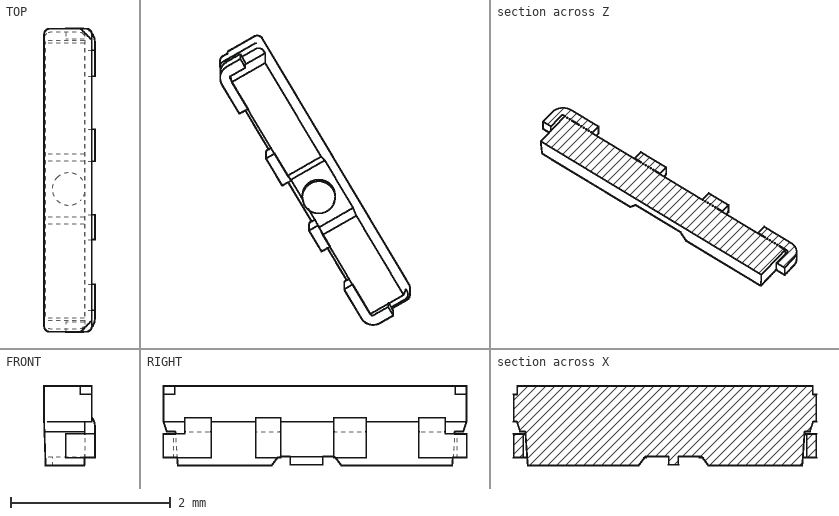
import cadquery as cq

lead_length = 3.8
height = 1.0
thickness = 0.64

body_length = 3.792
body_width = 0.6
shoulder_z = 0.55
corner_radius = 0.072

notch_leg = 0.145
notch_depth = 0.105

neck_bottom_z = 0.425
neck_end_inset = 0.04
neck_width = 0.51

base_top_length = 3.495
base_bottom_length = 3.435
base_left_inset = 0.02
base_bottom_right = 0.505

neck_left_inset = base_left_inset * (shoulder_z - neck_bottom_z) / shoulder_z

channel_y = -0.105
channel_top_width = 0.703
channel_bottom_width = 0.875
channel_depth = 0.115
boss_diameter = 0.41
boss_x = 0.308
boss_bottom_z = 0.01

lead_sheet = thickness - neck_width
lead_bottom_z = 0.103
lead_bend_radius = 0.17
lead_inner_radius = 0.015
end_lead_top_z = 0.4
end_lead_tip_x = 0.275
end_lead_inner_y = 1.3
end_lead_arm_outer_y = 1.625
bend_top_z = 0.665
middle_lead_spans = [(0.235, 0.64), (-0.74, -0.43)]

window_end_inset = 0.15
window_left = 0.07
window_right = 0.545
window_depth = 0.075
window_radius = 0.06


def rounded_outline(z, left, right, length):
    """Horizontal rectangle at height z, centred along Y, with rounded corners."""
    sketch = cq.Sketch().rect(right - left, length).vertices().fillet(corner_radius)
    return sketch.moved(cq.Location(cq.Vector((left + right) / 2, 0, z)))


def box(x_range, y_range, z_range):
    """Box given by its limits along each axis."""
    return cq.Workplane("XY").box(
        x_range[1] - x_range[0],
        y_range[1] - y_range[0],
        z_range[1] - z_range[0],
        centered=False,
    ).translate((x_range[0], y_range[0], z_range[0]))


def upper_body():
    """Upper body with its two top corners notched."""
    end = body_length / 2
    body = box((0, body_width), (-end, end), (shoulder_z, height))
    body = body.edges("|Z").fillet(corner_radius)
    for side in (-1, 1):
        notch = (
            cq.Workplane("XY", origin=(0, 0, height - notch_depth))
            .moveTo(body_width, side * end)
            .lineTo(body_width - notch_leg, side * end)
            .lineTo(body_width, side * (end - notch_leg))
            .close()
            .extrude(notch_depth)
        )
        body = body.cut(notch)
    return body


def neck():
    """Neck that tapers from the shoulder down to the base."""
    bottom_length = body_length - 2 * neck_end_inset
    bottom = rounded_outline(neck_bottom_z, neck_left_inset, neck_width, bottom_length)
    top = rounded_outline(shoulder_z, 0, neck_width, body_length)
    return cq.Workplane("XY").placeSketch(bottom, top).loft(ruled=True)


def base():
    """Drafted base with the channel across its underside and the boss in the channel."""
    top_center = (neck_left_inset + neck_width) / 2
    bottom_center = (base_left_inset + base_bottom_right) / 2
    block = (
        cq.Workplane("XY")
        .center(bottom_center, 0)
        .rect(base_bottom_right - base_left_inset, base_bottom_length)
        .workplane(offset=neck_bottom_z)
        .center(top_center - bottom_center, 0)
        .rect(neck_width - neck_left_inset, base_top_length)
        .loft(ruled=True)
    )
    channel = (
        cq.Workplane("YZ")
        .moveTo(channel_y - channel_bottom_width / 2, 0)
        .lineTo(channel_y - channel_top_width / 2, channel_depth)
        .lineTo(channel_y + channel_top_width / 2, channel_depth)
        .lineTo(channel_y + channel_bottom_width / 2, 0)
        .close()
        .extrude(body_width)
    )
    boss = (
        cq.Workplane("XY", origin=(boss_x, channel_y, boss_bottom_z))
        .circle(boss_diameter / 2)
        .extrude(channel_depth - boss_bottom_z)
    )
    return block.cut(channel).union(boss)


def bent_arm(y_range):
    """Lead that leaves the upper body towards +X, bends down and runs along the base."""
    root = box((neck_width - lead_sheet, neck_width), y_range, (shoulder_z, bend_top_z))
    arm = box((neck_width, thickness), y_range, (lead_bottom_z, bend_top_z))
    return arm.union(root).edges("|Y and >X and >Z").fillet(lead_bend_radius)


def end_lead():
    """Lead at the +Y end: a bent arm whose foot wraps round the end of the base."""
    end = lead_length / 2
    foot_height = end_lead_top_z - lead_bottom_z
    inner_corner = (neck_width, end - lead_sheet, lead_bottom_z + foot_height / 2)
    foot = (
        cq.Workplane("XY", origin=(0, 0, lead_bottom_z))
        .moveTo(thickness, end_lead_inner_y)
        .lineTo(thickness, end)
        .lineTo(end_lead_tip_x, end)
        .lineTo(end_lead_tip_x, end - lead_sheet)
        .lineTo(neck_width, end - lead_sheet)
        .lineTo(neck_width, end_lead_inner_y)
        .close()
        .extrude(foot_height)
    )
    foot = foot.edges("|Z and >X and >Y").fillet(lead_bend_radius)
    foot = foot.edges(cq.NearestToPointSelector(inner_corner)).fillet(lead_inner_radius)
    arm = bent_arm((end_lead_inner_y, end_lead_arm_outer_y))
    return foot.union(arm)


def lens_window():
    """Rounded lens that fills a pocket flush with the top face."""
    length = body_length - 2 * window_end_inset
    lens = box(
        (window_left, window_right),
        (-length / 2, length / 2),
        (height - window_depth, height),
    )
    return lens.edges("|Z").fillet(window_radius)


plus_y_lead = end_lead()
part = upper_body().union(neck()).union(base())
part = part.union(plus_y_lead).union(plus_y_lead.mirror("XZ"))
for y_range in middle_lead_spans:
    part = part.union(bent_arm(y_range))

lens = lens_window()
result = part.cut(lens).union(lens, clean=False)